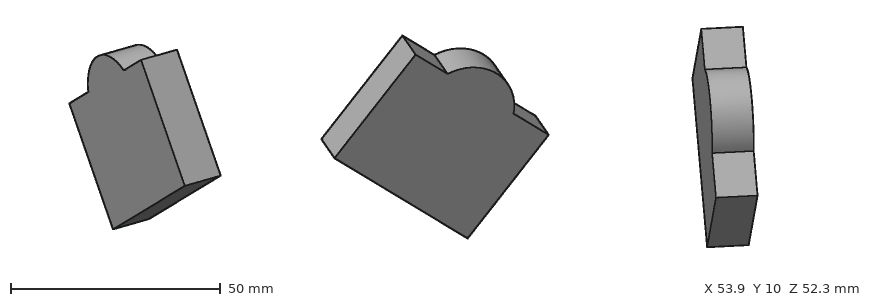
import cadquery as cq

plate_length = 43.42
plate_width = 32.0
thickness = 10.0
tilt_angle = 39.56

lobe_radius = 12.35
lobe_edge_distance = 22.2
lobe_inset = 6.05

lobe_x = lobe_edge_distance - plate_length / 2
lobe_z = plate_width / 2 - lobe_inset


def make_plate():
    """Untilted rectangular plate centred on the origin."""
    return cq.Workplane("XY").box(plate_length, thickness, plate_width)


def make_lobe():
    """Cylinder through the full thickness, its axis set inside the long edge."""
    return (
        cq.Workplane("XZ")
        .center(lobe_x, lobe_z)
        .circle(lobe_radius)
        .extrude(thickness / 2, both=True)
    )


body = make_plate().union(make_lobe())

result = body.rotate((0, 0, 0), (0, 1, 0), -tilt_angle)